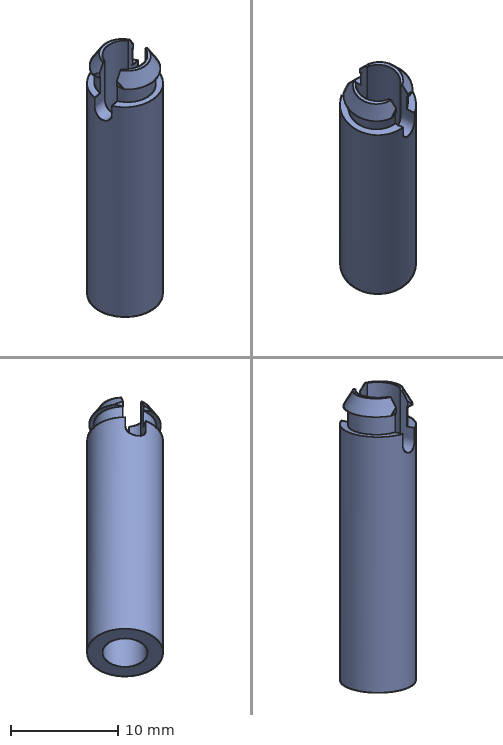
import cadquery as cq

total_length = 28.8
body_diameter = 7.1
bore_diameter = 4.2

prong_shift = 0.3
shoulder_drop = 3.4
head_height = 1.5
neck_radius = 2.65
head_base_radius = 3.08
head_top_radius = 2.2
head_width = 5.33

slot_width = 2.0
slot_depth = 5.5

shoulder_z = total_length - shoulder_drop
head_base_z = total_length - head_height
slot_radius = slot_width / 2
slot_center_z = total_length - slot_depth + slot_radius


def make_prong(side):
    """Neck and tapered, side-flattened head; side is -1 or +1 along X."""
    axis_x = side * prong_shift
    neck = (
        cq.Workplane("XY", origin=(axis_x, 0, shoulder_z))
        .circle(neck_radius)
        .extrude(head_base_z - shoulder_z)
    )
    head = (
        cq.Workplane("XZ")
        .moveTo(0, head_base_z)
        .lineTo(head_base_radius, head_base_z)
        .lineTo(head_top_radius, total_length)
        .lineTo(0, total_length)
        .close()
        .revolve(360, (0, 0, 0), (0, 1, 0))
        .translate((axis_x, 0, 0))
    )
    flats = cq.Workplane("XY").box(2 * body_diameter, head_width, 2 * total_length)
    half_space = (
        cq.Workplane("XY")
        .box(body_diameter, body_diameter, 2 * total_length)
        .translate((side * body_diameter / 2, 0, 0))
    )
    return neck.union(head.intersect(flats)).intersect(half_space)


def make_slot():
    """Slot through both walls along Y, open at the top."""
    round_bottom = (
        cq.Workplane("XZ", origin=(0, 0, slot_center_z))
        .circle(slot_radius)
        .extrude(body_diameter, both=True)
    )
    straight_part = (
        cq.Workplane("XY", origin=(0, 0, slot_center_z))
        .rect(slot_width, 2 * body_diameter)
        .extrude(total_length - slot_center_z)
    )
    return round_bottom.union(straight_part)


body = cq.Workplane("XY").circle(body_diameter / 2).extrude(shoulder_z)
bore = cq.Workplane("XY").circle(bore_diameter / 2).extrude(total_length)

for side in (-1, 1):
    body = body.union(make_prong(side))

result = body.cut(bore).cut(make_slot())